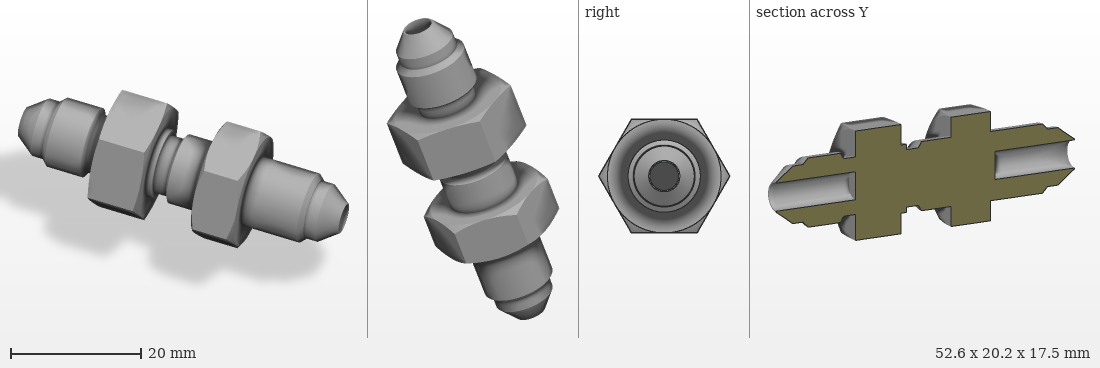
import cadquery as cq
import math


length = 52.58
thread_radius = 11.11 / 2

tip_radius = 4.8 / 2
nose_radius = 9.25 / 2
cone_angle = 37
cone_length = (nose_radius - tip_radius) / math.tan(math.radians(cone_angle))
nose_length = 4.85
lead_in_step = 0.12
lead_in_radius = nose_radius + lead_in_step
lead_in_length = thread_radius - lead_in_radius

bore_radius = 4.4 / 2

across_flats = 17.48
hex_start = -length / 2 + 13.95
hex_width = 8.15
hex_chamfer_angle = 15
nut_start = -length / 2 + 30.78
nut_width = 7.05
nut_chamfer_angle = 30
collar_radius = 10.95 / 2
collar_width = 0.95

bore_depth = hex_start + length / 2

relief_radius = nose_radius
relief_width = 1.95
runout_angle = 30
runout_step = 0.15
runout_radius = relief_radius + runout_step
runout_length = (thread_radius - runout_radius) * math.tan(math.radians(runout_angle))


def nose_profile(end):
    """Half-profile points from the tip to the thread; end is -1 for left, +1 for right."""
    tip = end * length / 2
    shoulder = tip - end * nose_length
    return [
        (tip, 0),
        (tip, tip_radius),
        (tip - end * cone_length, nose_radius),
        (shoulder, nose_radius),
        (shoulder, lead_in_radius),
        (shoulder - end * lead_in_length, thread_radius),
    ]


def runout_profile(groove_end, thread_side):
    """Half-profile points from the thread down to a groove; thread_side is -1 or +1."""
    return [
        (groove_end + thread_side * (runout_step + runout_length), thread_radius),
        (groove_end + thread_side * runout_step, runout_radius),
        (groove_end, relief_radius),
    ]


def make_body():
    """Turned body without hexagons."""
    collar_end = hex_start + hex_width + collar_width
    left_runout = runout_profile(hex_start - relief_width, -1)
    right_runout = runout_profile(collar_end + relief_width, 1)
    profile = nose_profile(-1) + left_runout
    profile += [
        (hex_start, relief_radius),
        (hex_start, collar_radius),
        (collar_end, collar_radius),
        (collar_end, relief_radius),
    ]
    profile += right_runout[::-1] + nose_profile(1)[::-1]
    return cq.Workplane("XY").polyline(profile).close().revolve(360, (0, 0, 0), (1, 0, 0))


def make_hexagon(start, width, chamfer_angle):
    """Hexagon with corners on the Y axis and both end faces chamfered by a cone."""
    corner_radius = across_flats / math.sqrt(3)
    face_radius = across_flats / 2
    chamfer = (corner_radius - face_radius) * math.tan(math.radians(chamfer_angle))
    end = start + width
    prism = (
        cq.Workplane("YZ")
        .workplane(offset=start)
        .polygon(6, 2 * corner_radius)
        .extrude(width)
    )
    envelope = (
        cq.Workplane("XY")
        .moveTo(start, 0)
        .lineTo(start, face_radius)
        .lineTo(start + chamfer, corner_radius)
        .lineTo(end - chamfer, corner_radius)
        .lineTo(end, face_radius)
        .lineTo(end, 0)
        .close()
        .revolve(360, (0, 0, 0), (1, 0, 0))
    )
    return prism.intersect(envelope)


def make_bore(end):
    """Blind bore cutter entering from the left (-1) or right (+1) tip."""
    plane = cq.Workplane("YZ").workplane(offset=end * length / 2)
    return plane.circle(bore_radius).extrude(-end * bore_depth)


result = make_body()
result = result.union(make_hexagon(hex_start, hex_width, hex_chamfer_angle))
result = result.union(make_hexagon(nut_start, nut_width, nut_chamfer_angle))
for side in (-1, 1):
    result = result.cut(make_bore(side))